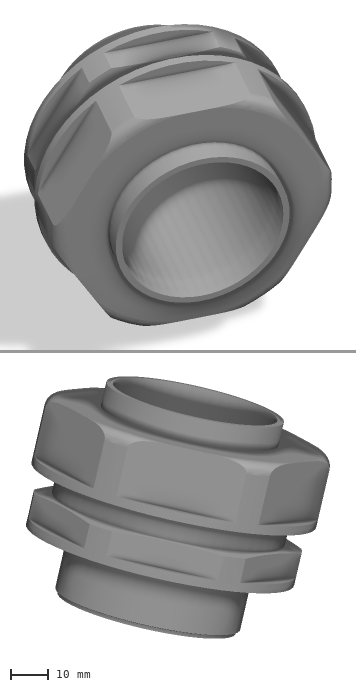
import cadquery as cq
import math


spigot_diameter = 50.0
pilot_diameter = 48.16
pilot_length = 1.0
spigot_length = 16.0
lead_in_angle = 15.0

body_nut_diameter = 72.5
body_nut_across_flats = 66.0
body_nut_length = 10.0
body_nut_chamfer_angle = 10.0

neck_diameter = 63.0
neck_length = 6.5

clamp_nut_diameter = 77.0
clamp_nut_across_flats = 70.0
clamp_nut_length = 19.0
clamp_nut_round = 3.2

flange_thickness = 2.5

sleeve_diameter = 48.0
sleeve_length = 6.5
bore_diameter = 44.5

body_nut_start = spigot_length
neck_start = body_nut_start + body_nut_length
clamp_nut_start = neck_start + neck_length
sleeve_start = clamp_nut_start + clamp_nut_length
overall_length = sleeve_start + sleeve_length


def cylinder(diameter, start, length):
    """Round bar along +X beginning at the given station."""
    return cq.Workplane("YZ", origin=(start, 0, 0)).circle(diameter / 2).extrude(length)


def turned(outline):
    """Solid of revolution about X from (station, radius) points in order along +X."""
    first_station = outline[0][0]
    last_station = outline[-1][0]
    profile = [(first_station, 0), *outline, (last_station, 0)]
    return cq.Workplane("XY").polyline(profile).close().revolve(360, (0, 0, 0), (1, 0, 0))


def cone_length(radial_height, angle):
    """Axial length of a cone leaning the given angle away from the end plane."""
    return radial_height * math.tan(math.radians(angle))


def hexagon(across_flats, start, length):
    """Hexagonal bar along +X with corners on +Y and -Y."""
    across_corners = across_flats / math.cos(math.radians(30))
    return cq.Workplane("YZ", origin=(start, 0, 0)).polygon(6, across_corners).extrude(length)


def flanged_nut(blank, across_flats, start, length):
    """Cut hexagon flats on a turned blank, leaving its first stretch round as a flange."""
    flange = blank.intersect(cylinder(2 * across_flats, start, flange_thickness))
    flats_start = start + flange_thickness
    flats = blank.intersect(hexagon(across_flats, flats_start, length - flange_thickness))
    return flange.union(flats)


def make_spigot():
    pilot_radius = pilot_diameter / 2
    spigot_radius = spigot_diameter / 2
    cone_end = pilot_length + cone_length(spigot_radius - pilot_radius, lead_in_angle)
    return turned([
        (0, pilot_radius),
        (pilot_length, pilot_radius),
        (cone_end, spigot_radius),
        (spigot_length, spigot_radius),
    ])


def make_body_nut():
    nut_radius = body_nut_diameter / 2
    neck_radius = neck_diameter / 2
    cone_start = neck_start - cone_length(nut_radius - neck_radius, body_nut_chamfer_angle)
    blank = turned([
        (body_nut_start, nut_radius),
        (cone_start, nut_radius),
        (neck_start, neck_radius),
    ])
    return flanged_nut(blank, body_nut_across_flats, body_nut_start, body_nut_length)


def make_clamp_nut():
    blank = cylinder(clamp_nut_diameter, clamp_nut_start, clamp_nut_length)
    blank = blank.faces(">X").edges().fillet(clamp_nut_round)
    return flanged_nut(blank, clamp_nut_across_flats, clamp_nut_start, clamp_nut_length)


result = (
    make_spigot()
    .union(make_body_nut())
    .union(cylinder(neck_diameter, neck_start, neck_length))
    .union(make_clamp_nut())
    .union(cylinder(sleeve_diameter, sleeve_start, sleeve_length))
    .cut(cylinder(bore_diameter, 0, overall_length))
)